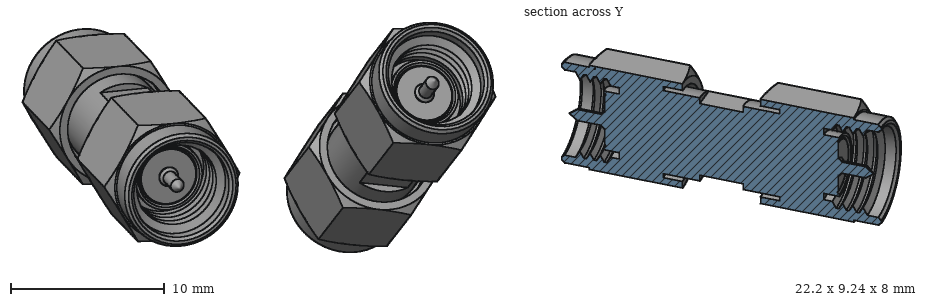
import cadquery as cq
import math

length = 22.2
half_length = length / 2

hex_across_flats = 8.0
hex_across_corners = hex_across_flats / math.cos(math.radians(30))
hex_start = 1.9
hex_length = 6.48
hex_end = hex_start + hex_length
hex_bevel_angle = 30.0
collar_radius = 3.86
collar_chamfer = 0.2

entry_radius = 3.25
entry_chamfer = 0.2
thread_minor_radius = 2.7
thread_major_radius = 3.17
thread_flank_angle = 30.0
thread_pitch = 0.7
thread_crest_count = 4
first_crest = 1.27
cavity_depth = 4.0
clearance_radius = 3.46
clearance_depth = 1.33

sleeve_radius = 2.26
sleeve_face = 2.9
sleeve_mouth_radius = 2.09
sleeve_bore_radius = 1.95
sleeve_mouth_depth = 0.13
insulator_face_radius = 1.86
insulator_face = 2.97
pin_tip = 0.5
pin_cone_end = 1.09
pin_radius = 0.45
pin_shoulder_radius = 0.65
pin_shoulder_start = 2.7

body_radius = 3.2
flat_length = 3.0
flat_spacing = 5.5


def turned(points):
    """Revolve an outline of (depth, radius) points about the part axis."""
    outline = cq.Workplane("XY").polyline([(depth - half_length, radius) for depth, radius in points])
    return outline.close().revolve(360, (0, 0, 0), (1, 0, 0))


def cylinder(start, end, radius):
    return turned([(start, 0), (start, radius), (end, radius), (end, 0)])


def hexagon():
    """Hexagonal prism with its corners bevelled at both ends."""
    prism = (
        cq.Workplane("YZ", origin=(hex_start - half_length, 0, 0))
        .polygon(6, hex_across_corners)
        .extrude(hex_length)
    )
    face_radius = hex_across_flats / 2
    corner_radius = hex_across_corners / 2
    bevel = (corner_radius - face_radius) * math.tan(math.radians(hex_bevel_angle))
    envelope = turned([
        (hex_start, 0),
        (hex_start, face_radius),
        (hex_start + bevel, corner_radius),
        (hex_end - bevel, corner_radius),
        (hex_end, face_radius),
        (hex_end, 0),
    ])
    return prism.intersect(envelope)


def collar():
    """Round front of the nut, chamfered at its open end."""
    return turned([
        (0, 0),
        (0, collar_radius - collar_chamfer),
        (collar_chamfer, collar_radius),
        (hex_start, collar_radius),
        (hex_start, 0),
    ])


def threaded_cavity():
    """Chamfered entry bore followed by ring-shaped thread grooves with sharp crests."""
    flank = math.tan(math.radians(thread_flank_angle))
    entry_end = first_crest - (entry_radius - thread_minor_radius) * flank
    groove_flank = (thread_major_radius - thread_minor_radius) * flank
    points = [
        (0, 0),
        (0, entry_radius + entry_chamfer),
        (entry_chamfer, entry_radius),
        (entry_end, entry_radius),
        (first_crest, thread_minor_radius),
    ]
    for groove in range(thread_crest_count - 1):
        crest = first_crest + groove * thread_pitch
        next_crest = crest + thread_pitch
        points += [
            (crest + groove_flank, thread_major_radius),
            (next_crest - groove_flank, thread_major_radius),
            (next_crest, thread_minor_radius),
        ]
    points += [(cavity_depth, thread_minor_radius), (cavity_depth, 0)]
    return turned(points)


def contact():
    """Sleeve, insulator and pointed pin standing on the cavity floor."""
    insulator_edge = sleeve_face + sleeve_mouth_depth
    shoulder_end = pin_shoulder_start + pin_shoulder_radius - pin_radius
    return turned([
        (pin_tip, 0),
        (pin_cone_end, pin_radius),
        (pin_shoulder_start, pin_radius),
        (shoulder_end, pin_shoulder_radius),
        (insulator_face, pin_shoulder_radius),
        (insulator_face, insulator_face_radius),
        (insulator_edge, sleeve_bore_radius),
        (sleeve_face, sleeve_mouth_radius),
        (sleeve_face, sleeve_radius),
        (cavity_depth, sleeve_radius),
        (cavity_depth, 0),
    ])


def plug():
    """One coupling nut with its contact, at the -X end."""
    clearance = cylinder(hex_end - clearance_depth, hex_end, clearance_radius)
    nut = hexagon().union(collar()).cut(threaded_cavity()).cut(clearance)
    return nut.union(contact())


def body():
    """Round body joining the plugs, with a wrench flat above and below."""
    body_start = hex_end - clearance_depth
    barrel = cylinder(body_start, length - body_start, body_radius)
    cutter_height = body_radius
    cutter = cq.Workplane("XY").box(flat_length, 2 * body_radius, cutter_height)
    for side in (-1, 1):
        barrel = barrel.cut(cutter.translate((0, 0, side * (flat_spacing + cutter_height) / 2)))
    return barrel


left_plug = plug()
result = body().union(left_plug).union(left_plug.mirror("YZ"))